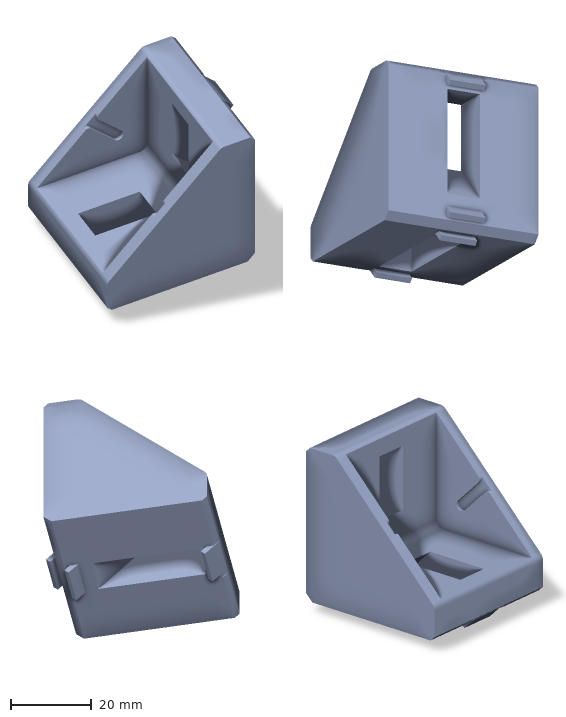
import cadquery as cq
import math

width = 42.0
leg = 41.28
lip = 9.32
lip_radius = 2.0
corner_chamfer = 2.0
end_chamfer = 1.23

cheek = 3.5
plate = 9.9
pocket_radius = 2.0

slot_width = 9.1
slot_length = 17.25
slot_start = 18.75

groove_width = 2.98
groove_length = 12.0
groove_depth = 1.0
mouth_radius = 1.0

tab_width = 9.95
tab_thickness = 1.5
tab_reach = 2.5
inner_tab_top = 5.7
tab_root = 1.05
outer_tab_rise = 0.05
recess_width = 12.7
recess_depth = 0.15


def side_plane():
    """Sketch plane whose local axes are depth (-Y) and height (Z); it extrudes toward -X."""
    return cq.Workplane(cq.Plane(origin=(0, 0, 0), xDir=(0, -1, 0), normal=(-1, 0, 0)))


def swap_legs(shape):
    """Mirror a shape from the back leg onto the bottom leg."""
    return shape.mirror(cq.Vector(0, 1, 1))


def make_body():
    outline = [
        (corner_chamfer, 0),
        (leg - end_chamfer, 0),
        (leg, end_chamfer),
        (leg, lip),
        (lip, leg),
        (end_chamfer, leg),
        (0, leg - end_chamfer),
        (0, corner_chamfer),
    ]
    block = side_plane().polyline(outline).close().extrude(width / 2, both=True)
    for depth, height in [(lip, leg), (leg, lip)]:
        edge = cq.selectors.NearestToPointSelector((0, -depth, height))
        block = block.edges(edge).fillet(lip_radius)
    return block


def make_pocket():
    pocket = side_plane().rect(leg, leg, centered=False).extrude(width / 2 - cheek, both=True)
    pocket = pocket.translate((0, -plate, plate))
    return pocket.edges("|X and >Y and <Z").fillet(pocket_radius)


def make_back_slot():
    """Slot through the back wall; its lower end runs outward and down at 45 degrees."""
    slot_end = slot_start + slot_length
    outline = [
        (0, slot_start - plate),
        (plate, slot_start),
        (plate, slot_end),
        (0, slot_end),
    ]
    return side_plane().polyline(outline).close().extrude(slot_width / 2, both=True)


def make_grooves():
    """Both grooves at once, as one bar reaching past each inner cheek face."""
    half_width = groove_width / 2
    mouth = half_width + mouth_radius
    straight = groove_length - half_width
    arc_offset = mouth_radius * (1 - math.sqrt(0.5))
    mid_slant = (leg + lip) / 2
    plane = cq.Plane(origin=(0, -mid_slant, mid_slant), xDir=(0, -1, 1), normal=(-1, 0, 0))
    return (
        cq.Workplane(plane)
        .moveTo(0, mouth)
        .threePointArc((-arc_offset, half_width + arc_offset), (-mouth_radius, half_width))
        .lineTo(-straight, half_width)
        .threePointArc((-groove_length, 0), (-straight, -half_width))
        .lineTo(-mouth_radius, -half_width)
        .threePointArc((-arc_offset, -half_width - arc_offset), (0, -mouth))
        .close()
        .extrude(width / 2 - cheek + groove_depth, both=True)
    )


def make_back_tab(top):
    """Tab whose upper face meets the back face at height `top`."""
    rise = tab_thickness * math.sqrt(2)
    outline = [
        (tab_root, top + tab_root),
        (-tab_reach, top - tab_reach),
        (rise / 2 - tab_reach, top - tab_reach - rise / 2),
        (tab_root + rise / 2, top + tab_root - rise / 2),
    ]
    return side_plane().polyline(outline).close().extrude(tab_width / 2, both=True)


def make_back_recess():
    """Shallow recess in the end chamfer on both sides of the outer tab."""
    base = leg - end_chamfer
    drop = recess_depth * math.sqrt(2)
    outline = [
        (0, base),
        (tab_root, base + tab_root),
        (tab_root, base + tab_root - drop),
        (0, base - drop),
    ]
    return side_plane().polyline(outline).close().extrude(recess_width / 2, both=True)


result = make_body().cut(make_pocket()).cut(make_grooves())

for opening in [make_back_slot(), make_back_recess()]:
    result = result.cut(opening).cut(swap_legs(opening))

outer_tab_top = leg - end_chamfer + outer_tab_rise
for tab in [make_back_tab(inner_tab_top), make_back_tab(outer_tab_top)]:
    result = result.union(tab).union(swap_legs(tab))